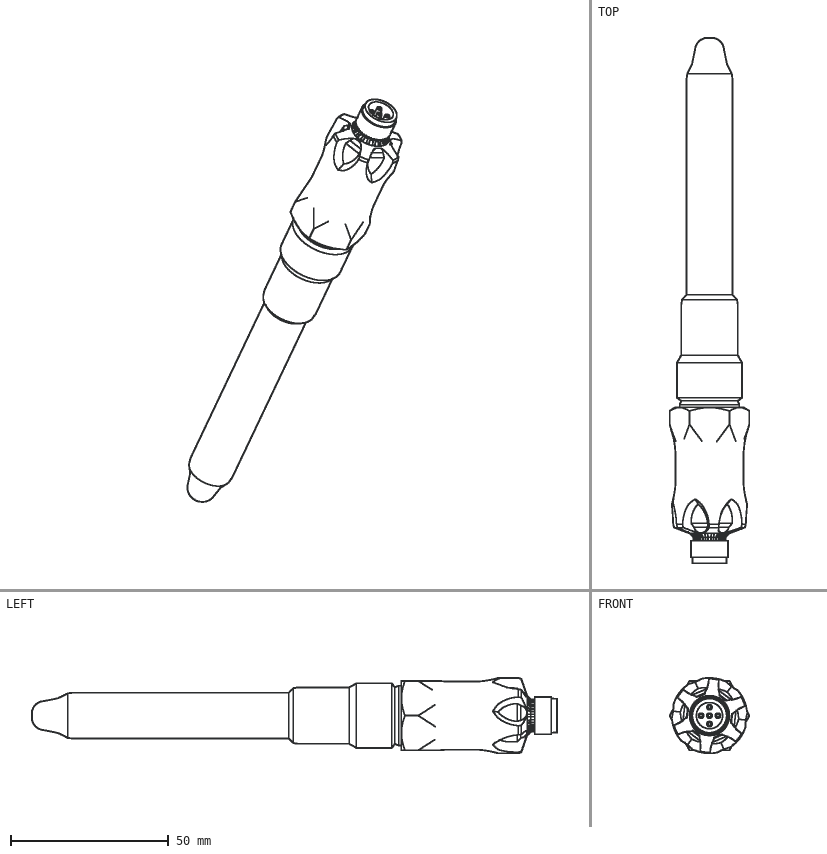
import cadquery as cq
import math


axis_start = (0, 0, 0)
axis_end = (0, 1, 0)

length = 166.7
tip_flat_dia = 3.0
tip_dome_y = 162.9
tip_dome_dia = 9.3
tip_dome_mid_y = 165.4
tip_dome_mid_dia = 7.3
tip_cone_y = 158.4
tip_cone_dia = 11.2

tube_dia = 14.7
tube_end_y = 155.4
tube_edge_length = 1.7
tube_edge_depth = 0.25
collar_1_dia = 18.0
collar_1_y = 85.2
collar_1_bevel = 1.5
collar_1_edge_length = 1.5
collar_1_edge_depth = 0.25
collar_2_dia = 20.7
collar_2_y = 66.0
collar_2_round = 2.3
collar_2_front_y = 51.5
collar_2_chamfer = 1.0
groove_dia = 18.0
collar_ring_dia = 19.0
collar_ring_y = 50.3

hex_rear_y = 49.5
hex_sides = 6
hex_flats = 22.0
hex_chamfer_dia = 21.7
hex_chamfer_length = 1.2
hex_dia = 25.3
hex_taper_y = 44.0
hex_taper_mid_y = 40.0
hex_taper_mid_dia = 23.0
grip_dia = 21.7
grip_rear_y = 32.3
grip_front_y = 25.2

nut_dia = 24.0
nut_flare_y = 18.7
nut_flare_mid_y = 21.8
nut_flare_mid_dia = 22.5
nut_edge_y = 12.3
nut_rim_y = 11.3
nut_rim_dia = 23.3
nut_neck_y = 9.5
nut_neck_dia = 12.7

flute_count = 6
flute_first_angle = 53.0
flute_tip_y = 20.7
flute_round_y = 12.5
flute_front_y = 6.7
flute_floor_front_y = 9.0
flute_width = 10.2
flute_side_bulge = 1.3
flute_taper = 30.0
flute_floor_rear_radius = 9.7
flute_floor_bend_y = 12.7
flute_floor_bend_radius = 8.2
flute_floor_foot_y = 11.5
flute_floor_foot_radius = 7.2
flute_floor_front_radius = 6.8

thread_dia = 11.8
thread_rear_y = 7.2
thread_front_y = 1.8
relief_dia = 10.3
relief_y = 8.3
lead_dia = 10.8
lead_rear_dia = 11.0
lead_edge_y = 1.0
bore_dia = 8.3
bore_depth = 6.3

pin_dia = 1.7
pin_recess = 1.0
pin_chamfer = 0.3
pin_ring_radius = 2.7
pin_count = 4

serration_count = 18
serration_width = 0.8
serration_depth = 0.3


def turned_body():
    """Half outline from the connector face to the tip, revolved about the Y axis."""
    profile = (
        cq.Workplane("XY")
        .moveTo(0, 0)
        .lineTo(lead_dia / 2, 0)
        .lineTo(lead_dia / 2, lead_edge_y)
        .lineTo(lead_rear_dia / 2, thread_front_y)
        .lineTo(thread_dia / 2, thread_front_y)
        .lineTo(thread_dia / 2, thread_rear_y)
        .lineTo(relief_dia / 2, thread_rear_y)
        .lineTo(relief_dia / 2, relief_y)
        .lineTo(nut_neck_dia / 2, nut_neck_y)
        .lineTo(nut_rim_dia / 2, nut_rim_y)
        .lineTo(nut_dia / 2, nut_edge_y)
        .lineTo(nut_dia / 2, nut_flare_y)
        .threePointArc((nut_flare_mid_dia / 2, nut_flare_mid_y), (grip_dia / 2, grip_front_y))
        .lineTo(grip_dia / 2, grip_rear_y)
        .threePointArc((hex_taper_mid_dia / 2, hex_taper_mid_y), (hex_dia / 2, hex_taper_y))
        .lineTo(hex_dia / 2, hex_rear_y - hex_chamfer_length)
        .lineTo(hex_chamfer_dia / 2, hex_rear_y)
        .lineTo(collar_ring_dia / 2, hex_rear_y)
        .lineTo(collar_ring_dia / 2, collar_ring_y)
        .lineTo(groove_dia / 2, collar_2_front_y)
        .lineTo(collar_2_dia / 2, collar_2_front_y + collar_2_chamfer)
        .lineTo(collar_2_dia / 2, collar_2_y - collar_2_round)
        .lineTo(collar_1_dia / 2, collar_2_y)
        .lineTo(collar_1_dia / 2, collar_1_y - collar_1_bevel - collar_1_edge_length)
        .lineTo(collar_1_dia / 2 - collar_1_edge_depth, collar_1_y - collar_1_bevel)
        .lineTo(tube_dia / 2, collar_1_y)
        .lineTo(tube_dia / 2, tube_end_y - tube_edge_length)
        .lineTo(tube_dia / 2 - tube_edge_depth, tube_end_y)
        .lineTo(tip_cone_dia / 2, tip_cone_y)
        .lineTo(tip_dome_dia / 2, tip_dome_y)
        .threePointArc((tip_dome_mid_dia / 2, tip_dome_mid_y), (tip_flat_dia / 2, length))
        .lineTo(0, length)
        .close()
    )
    return profile.revolve(360, axis_start, axis_end)


def hex_flat_cutter():
    """Ring with a hexagonal opening that leaves flats facing up and down."""
    corner_dia = hex_flats / math.cos(math.pi / hex_sides)
    return (
        cq.Workplane("XZ", origin=(0, hex_rear_y, 0))
        .circle(hex_dia)
        .polygon(hex_sides, corner_dia)
        .extrude(hex_rear_y - grip_rear_y)
    )


def flute_cutter(angle):
    """Egg-shaped flute narrowing inwards, pointed towards the hexagon, with a bent sloping floor."""
    half = flute_width / 2
    outer_radius = nut_dia / 2
    plane = cq.Plane(origin=(outer_radius, 0, 0), xDir=(0, 1, 0), normal=(-1, 0, 0))
    side_y = (flute_tip_y + flute_round_y) / 2
    side_z = half / 2 + flute_side_bulge
    egg = (
        cq.Workplane(plane)
        .moveTo(flute_tip_y, 0)
        .threePointArc((side_y, side_z), (flute_round_y, half))
        .threePointArc((flute_front_y, 0), (flute_round_y, -half))
        .threePointArc((side_y, -side_z), (flute_tip_y, 0))
        .close()
        .extrude(outer_radius - flute_floor_front_radius, taper=flute_taper)
    )
    space_above_floor = (
        cq.Workplane("XY")
        .moveTo(outer_radius, flute_tip_y)
        .lineTo(flute_floor_rear_radius, flute_tip_y)
        .lineTo(flute_floor_bend_radius, flute_floor_bend_y)
        .lineTo(flute_floor_foot_radius, flute_floor_foot_y)
        .lineTo(flute_floor_front_radius, flute_floor_front_y)
        .lineTo(outer_radius, flute_floor_front_y)
        .close()
        .extrude(half, both=True)
    )
    return egg.intersect(space_above_floor).rotate(axis_start, axis_end, -angle)


def serration_cutter(angle):
    """Radial notch following the flare of the neck."""
    notch = (
        cq.Workplane("XY")
        .moveTo(relief_dia / 2 - serration_depth, thread_rear_y)
        .lineTo(nut_neck_dia / 2, thread_rear_y)
        .lineTo(nut_neck_dia / 2, nut_neck_y)
        .lineTo(nut_neck_dia / 2 - serration_depth, nut_neck_y)
        .lineTo(relief_dia / 2 - serration_depth, relief_y)
        .close()
        .extrude(serration_width / 2, both=True)
    )
    return notch.rotate(axis_start, axis_end, -angle)


def contact_pins():
    """One pin on the axis and a ring of pins around it, standing on the bore floor."""
    return (
        cq.Workplane("XZ", origin=(0, bore_depth, 0))
        .polarArray(pin_ring_radius, 0, 360, pin_count)
        .circle(pin_dia / 2)
        .pushPoints([(0, 0)])
        .circle(pin_dia / 2)
        .extrude(bore_depth - pin_recess)
        .faces("<Y")
        .chamfer(pin_chamfer)
    )


body = turned_body().cut(hex_flat_cutter())

for index in range(flute_count):
    body = body.cut(flute_cutter(flute_first_angle + index * 360 / flute_count))

for index in range(serration_count):
    body = body.cut(serration_cutter(index * 360 / serration_count))

bore = cq.Workplane("XZ").circle(bore_dia / 2).extrude(-bore_depth)
result = body.cut(bore).union(contact_pins())